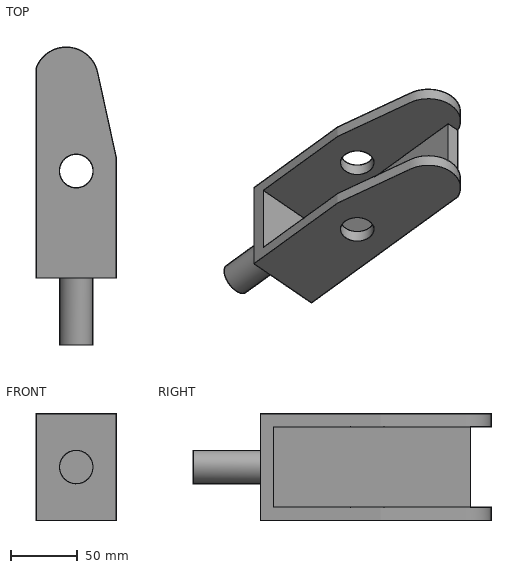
import cadquery as cq
import math

total_length = 222.6
width = 60.0
height = 80.0

pin_length = 50.0
pin_diameter = 25.0
hole_distance = 80.0

wall = 10.0

taper_distance = 90.0
nose_radius = 24.0
nose_x = 22.5

axis_x = width / 2
axis_z = height / 2
taper_y = pin_length + taper_distance
nose_y = total_length - nose_radius

left_end_y = nose_y + math.sqrt(nose_radius**2 - nose_x**2)

corner_dx = width - nose_x
corner_dy = taper_y - nose_y
corner_distance = math.hypot(corner_dx, corner_dy)
tangent_angle = math.atan2(corner_dy, corner_dx) + math.acos(nose_radius / corner_distance)
tangent_x = nose_x + nose_radius * math.cos(tangent_angle)
tangent_y = nose_y + nose_radius * math.sin(tangent_angle)


def make_body():
    """Extrude the tapered, round-nosed plan outline to the full height."""
    return (
        cq.Workplane("XY")
        .moveTo(0, pin_length)
        .lineTo(width, pin_length)
        .lineTo(width, taper_y)
        .lineTo(tangent_x, tangent_y)
        .threePointArc((nose_x, total_length), (0, left_end_y))
        .close()
        .extrude(height)
    )


def make_cavity():
    """Space between the plates, leaving the end wall and the left wall."""
    end_wall_y = pin_length + wall
    return (
        cq.Workplane("XY", origin=(0, 0, wall))
        .moveTo(wall, end_wall_y)
        .lineTo(width, end_wall_y)
        .lineTo(width, total_length)
        .lineTo(0, total_length)
        .lineTo(0, left_end_y)
        .lineTo(wall, left_end_y)
        .close()
        .extrude(height - 2 * wall)
    )


def make_pin():
    """Round pin centred on the end face."""
    return (
        cq.Workplane("XZ", origin=(axis_x, pin_length, axis_z))
        .circle(pin_diameter / 2)
        .extrude(pin_length)
    )


def make_hole():
    """Vertical cylinder through both plates."""
    return (
        cq.Workplane("XY", origin=(axis_x, pin_length + hole_distance, 0))
        .circle(pin_diameter / 2)
        .extrude(height)
    )


result = make_body().cut(make_cavity()).cut(make_hole()).union(make_pin())